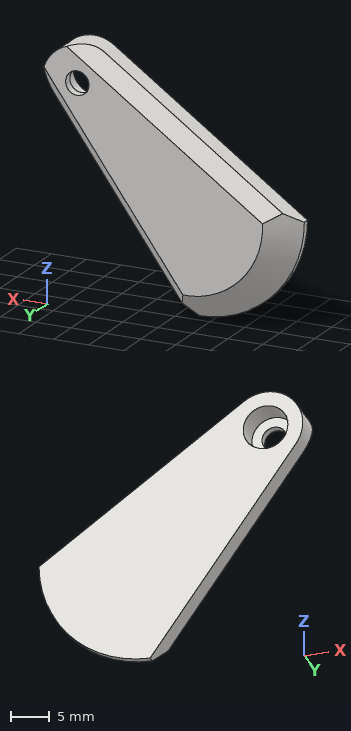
import math
import cadquery as cq

size = 35.53
thickness = 5.0
lug_radius = 5.0
tip_radius = 15.0
tip_bevel = 4.0
side_bevel = 2.0
bore_diameter = 3.3
counterbore_diameter = 6.0
counterbore_depth = 3.75

lug_center = size - lug_radius
lug_diagonal = lug_center + lug_radius * math.sqrt(0.5)

rise = lug_center - tip_radius
center_distance = math.hypot(lug_center, rise)
side_angle = math.atan2(rise, lug_center) + math.asin(lug_radius / center_distance)
side_length = math.sqrt(center_distance**2 - lug_radius**2)
tangent_x = side_length * math.cos(side_angle)
tangent_z = tip_radius + side_length * math.sin(side_angle)
tip_mid = tip_radius * (1 - math.sqrt(0.5))


def make_blade():
    """Extrude the outline, which is symmetric about the X = Z diagonal."""
    return (
        cq.Workplane("XZ")
        .moveTo(0, tip_radius)
        .lineTo(tangent_x, tangent_z)
        .threePointArc((lug_diagonal, lug_diagonal), (tangent_z, tangent_x))
        .lineTo(tip_radius, 0)
        .threePointArc((tip_mid, tip_mid), (0, tip_radius))
        .close()
        .extrude(-thickness)
    )


def bevel_tip(body):
    """Bevel the back edge of the quarter-round tip at 45 degrees."""
    tip_edge = cq.selectors.NearestToPointSelector((tip_mid, thickness, tip_mid))
    return body.faces(">Y").edges(tip_edge).chamfer(tip_bevel)


def side_cutter():
    """Straight triangular prism along the upper side, running past both ends."""
    side_plane = cq.Plane(
        origin=(0, 0, tip_radius),
        xDir=(0, 1, 0),
        normal=(math.cos(side_angle), 0, math.sin(side_angle)),
    )
    return (
        cq.Workplane(side_plane)
        .moveTo(thickness - 2 * side_bevel, side_bevel)
        .lineTo(thickness + side_bevel, -2 * side_bevel)
        .lineTo(thickness + side_bevel, side_bevel)
        .close()
        .extrude(2 * size, both=True)
    )


def diagonal_mirror(body):
    """Mirror across the X = Z plane by a flip in Z and a quarter turn about Y."""
    return body.mirror("XY").rotate((0, 0, 0), (0, 1, 0), -90)


def bore_lug(body):
    """Drill the lug through, counterbored from the front face."""
    front = cq.Workplane("XZ").center(lug_center, lug_center)
    bore = front.circle(bore_diameter / 2).extrude(-thickness)
    counterbore = front.circle(counterbore_diameter / 2).extrude(-counterbore_depth)
    return body.cut(bore).cut(counterbore)


upper_cutter = side_cutter()
blade = bevel_tip(make_blade())
blade = blade.cut(upper_cutter).cut(diagonal_mirror(upper_cutter))
result = bore_lug(blade)